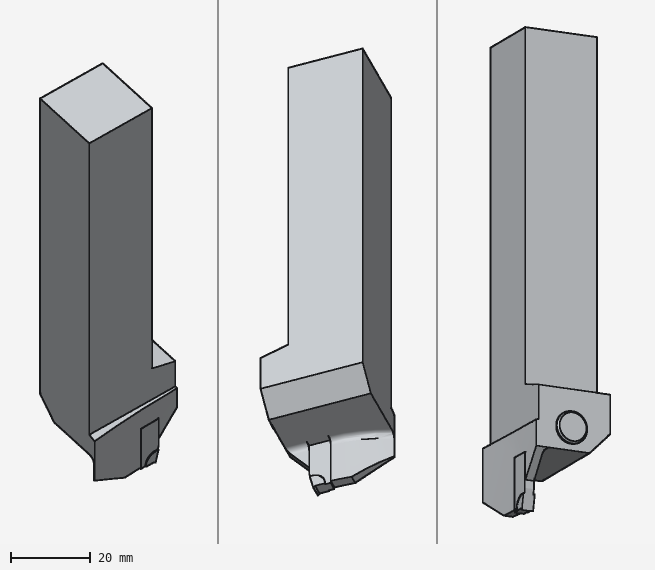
import cadquery as cq


TOTAL_HEIGHT = 126.4
SHANK_SIDE = 20.0
FOOT_DEPTH = 27.4
FOOT_INNER_Z = 33.1
FOOT_OUTER_Z = 31.0
BODY_BOTTOM_Z = 14.9
CORNER_CHAMFER = 5.7

HEAD_WIDTH = 22.1
HEAD_MIDDLE = (21.1, 13.3)
HEAD_BACK_WIDTH = 20.6
SHOULDER_Z = 22.0
SHOULDER_DROP = 0.6

BLADE_INNER_X = 18.3
BLADE_FRONT_X = 21.7
BLADE_ARC_MIDDLE = (19.2, 7.8)
BLADE_BOTTOM_Z = 1.1
BLADE_FRONT_Z = 7.2
BLADE_HEEL_Y = 10.2
BLADE_JAW_Z = 7.6
ROOT_FILLET = 1.6

INSERT_FRONT_Y = 15.7
INSERT_BACK_Y = 21.5
INSERT_OUTER_X = 20.8
INSERT_BACK_Z = 5.4
TIP_Y = 20.2
TIP_LIP = 0.5
CUTTING_X = 18.0
CUTTING_WIDTH = 3.2
CUTTING_ARC_TOP = (20.6, 4.2)
CUTTING_ARC_MIDDLE = (18.2, 3.3)
CUTTING_ARC_END = (17.2, TIP_LIP)

SCREW_DIAMETER = 8.5
SCREW_HEIGHT = 1.0
SCREW_CHAMFER = 0.5
SCREW_X = 10.9
SCREW_Z = 20.8


def make_shank():
    """Square shank with a deeper foot at its lower end."""
    return (
        cq.Workplane("YZ")
        .moveTo(0, BODY_BOTTOM_Z)
        .lineTo(0, TOTAL_HEIGHT)
        .lineTo(SHANK_SIDE, TOTAL_HEIGHT)
        .lineTo(SHANK_SIDE, FOOT_INNER_Z)
        .lineTo(FOOT_DEPTH, FOOT_OUTER_Z)
        .lineTo(FOOT_DEPTH, BODY_BOTTOM_Z)
        .close()
        .extrude(SHANK_SIDE)
    )


def make_head():
    """Lower end with the concave side and the sloping shoulder above it."""
    plan = (
        cq.Workplane("XY")
        .workplane(offset=BODY_BOTTOM_Z)
        .lineTo(HEAD_WIDTH, 0)
        .threePointArc(HEAD_MIDDLE, (HEAD_BACK_WIDTH, FOOT_DEPTH))
        .lineTo(0, FOOT_DEPTH)
        .close()
        .extrude(SHOULDER_Z - BODY_BOTTOM_Z)
    )
    shoulder_cut = (
        cq.Workplane("XZ")
        .moveTo(SHANK_SIDE, SHOULDER_Z)
        .lineTo(HEAD_WIDTH, SHOULDER_Z)
        .lineTo(HEAD_WIDTH, SHOULDER_Z - SHOULDER_DROP)
        .close()
        .extrude(-FOOT_DEPTH)
    )
    return plan.cut(shoulder_cut)


def make_blade():
    """Crescent-section blade hanging below the head, at full height and depth."""
    return (
        cq.Workplane("XY")
        .moveTo(BLADE_FRONT_X, 0)
        .lineTo(HEAD_WIDTH, 0)
        .threePointArc(HEAD_MIDDLE, (HEAD_BACK_WIDTH, FOOT_DEPTH))
        .lineTo(BLADE_INNER_X, FOOT_DEPTH)
        .lineTo(BLADE_INNER_X, INSERT_FRONT_Y)
        .threePointArc(BLADE_ARC_MIDDLE, (BLADE_FRONT_X, 0))
        .close()
        .extrude(BODY_BOTTOM_Z)
    )


def make_side_envelope():
    """Side outline that trims the blade, with the insert's slot left open."""
    return (
        cq.Workplane("YZ")
        .moveTo(0, TOTAL_HEIGHT)
        .lineTo(0, BLADE_FRONT_Z)
        .lineTo(BLADE_HEEL_Y, BLADE_BOTTOM_Z)
        .lineTo(INSERT_FRONT_Y, BLADE_BOTTOM_Z)
        .lineTo(INSERT_FRONT_Y, BODY_BOTTOM_Z)
        .lineTo(INSERT_BACK_Y, BODY_BOTTOM_Z)
        .lineTo(INSERT_BACK_Y, BLADE_JAW_Z)
        .lineTo(FOOT_DEPTH, BODY_BOTTOM_Z)
        .lineTo(FOOT_DEPTH, TOTAL_HEIGHT)
        .close()
        .extrude(HEAD_WIDTH)
    )


def make_screw_head():
    """Low chamfered screw head standing on the far face of the foot."""
    return (
        cq.Workplane("XZ", origin=(SCREW_X, FOOT_DEPTH, SCREW_Z))
        .circle(SCREW_DIAMETER / 2)
        .extrude(-SCREW_HEIGHT)
        .faces(">Y")
        .chamfer(SCREW_CHAMFER)
    )


def make_holder():
    corner_cut = (
        cq.Workplane("XZ")
        .moveTo(0, BODY_BOTTOM_Z)
        .lineTo(CORNER_CHAMFER, BODY_BOTTOM_Z)
        .lineTo(0, BODY_BOTTOM_Z + CORNER_CHAMFER)
        .close()
        .extrude(-FOOT_DEPTH)
    )
    root_edges = cq.selectors.BoxSelector(
        (BLADE_INNER_X - ROOT_FILLET, 1.3, BODY_BOTTOM_Z - 0.1),
        (HEAD_BACK_WIDTH - 0.1, FOOT_DEPTH - 1.3, BODY_BOTTOM_Z + 0.1),
    )
    body = make_shank().union(make_head()).union(make_blade())
    body = body.edges(root_edges).fillet(ROOT_FILLET)
    body = body.cut(corner_cut).intersect(make_side_envelope())
    return body.union(make_screw_head())


def insert_outline(plane):
    """Side outline of the insert, down to the cutting tip."""
    return (
        plane.moveTo(INSERT_FRONT_Y, BODY_BOTTOM_Z)
        .lineTo(INSERT_BACK_Y, BODY_BOTTOM_Z)
        .lineTo(INSERT_BACK_Y, INSERT_BACK_Z)
        .lineTo(TIP_Y, 0)
        .lineTo(TIP_Y - TIP_LIP, TIP_LIP)
        .lineTo(INSERT_FRONT_Y, TIP_LIP)
        .close()
    )


def make_insert():
    """Flat insert whose cutting end is wider than its body."""
    body_plane = cq.Workplane("YZ", origin=(BLADE_INNER_X, 0, 0))
    body = insert_outline(body_plane).extrude(INSERT_OUTER_X - BLADE_INNER_X)
    rake_top_z = CUTTING_ARC_TOP[1]
    rake_top_y = TIP_Y + (INSERT_BACK_Y - TIP_Y) * rake_top_z / INSERT_BACK_Z
    cutting_end = (
        cq.Workplane("YZ", origin=(CUTTING_X, 0, 0))
        .moveTo(TIP_Y, 0)
        .lineTo(TIP_Y - TIP_LIP, TIP_LIP)
        .lineTo(*CUTTING_ARC_END)
        .threePointArc(CUTTING_ARC_MIDDLE, CUTTING_ARC_TOP)
        .lineTo(rake_top_y, rake_top_z)
        .close()
        .extrude(CUTTING_WIDTH)
    )
    return body.union(cutting_end)


holder = make_holder()
insert = make_insert()
result = cq.Compound.makeCompound([holder.solids().val(), insert.solids().val()])